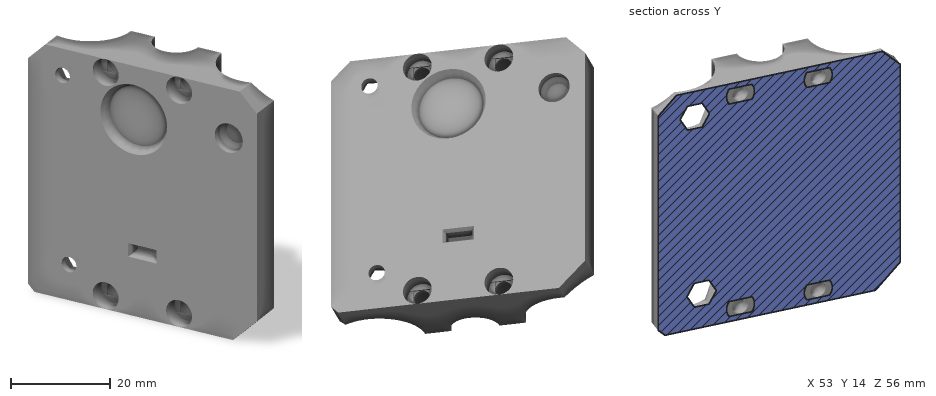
import cadquery as cq
import math

WIDTH = 53.0
DEPTH = 14.0
HEIGHT = 56.0

UPPER_CORNER_CUT = 4.0
LOWER_RIGHT_CUT = 5.5
LOWER_LEFT_CUT = 1.5

SIDE_TROUGH_RADIUS = 9.5
SIDE_TROUGH_X = 20.0
CENTRE_TROUGH_RADIUS = 5.0

HOLE_DIAMETER = 3.4
BOLT_HOLE_CENTRES = [(-18.5, 22.0), (-17.0, -20.0)]
NUT_ACROSS_FLATS = 5.5
NUT_ACROSS_CORNERS = NUT_ACROSS_FLATS / math.cos(math.radians(30))
NUT_TRAP_FLOOR_Y = 1.5
SCREW_X = 8.5
SCREW_HEAD_DIAMETER = 6.0
SCREW_HEAD_DEPTH = 3.4
SCREW_Z = (HEIGHT - SCREW_HEAD_DIAMETER) / 2
STEP_DEPTH = 0.2

LARGE_RECESS_CENTRE = (-2.0, 16.0)
LARGE_RECESS_DIAMETER = 15.5
LARGE_RECESS_FLOOR_DIAMETER = 13.2
LARGE_RECESS_DEPTH = 2.0
SMALL_RECESS_CENTRE = (20.0, 17.0)
SMALL_RECESS_DIAMETER = 6.5
SMALL_RECESS_FLOOR_DIAMETER = 4.5
SMALL_RECESS_STRAIGHT_DEPTH = 1.85
SMALL_RECESS_TAPER_DEPTH = 1.15

POCKET_Z = -13.5
POCKET_MOUTH = (6.6, 3.0)
POCKET_INSET = 0.5
POCKET_TAPER_DEPTH = 0.87
POCKET_DEPTH = 3.2


def front_plane(depth=0.0):
    """Sketch plane at the given depth; local axes are X and Z, the normal points out along -Y."""
    return cq.Workplane("XZ", origin=(0, depth, 0))


def make_plate():
    half_width = WIDTH / 2
    half_height = HEIGHT / 2
    outline = [
        (-half_width, -half_height + LOWER_LEFT_CUT),
        (-half_width + LOWER_LEFT_CUT, -half_height),
        (half_width - LOWER_RIGHT_CUT, -half_height),
        (half_width, -half_height + LOWER_RIGHT_CUT),
        (half_width, half_height - UPPER_CORNER_CUT),
        (half_width - UPPER_CORNER_CUT, half_height),
        (-half_width + UPPER_CORNER_CUT, half_height),
        (-half_width, half_height - UPPER_CORNER_CUT),
    ]
    return front_plane().polyline(outline).close().extrude(-DEPTH)


def make_trough(x, radius):
    return cq.Workplane("XY", origin=(x, DEPTH, -HEIGHT / 2)).circle(radius).extrude(HEIGHT)


def make_bolt_hole(x, z):
    """Shank hole from the flat face, widening to a nut trap with corners pointing along X."""
    shank = front_plane().center(x, z).circle(HOLE_DIAMETER / 2).extrude(-DEPTH)
    nut_trap = (
        front_plane(NUT_TRAP_FLOOR_Y).center(x, z)
        .polygon(6, NUT_ACROSS_CORNERS).extrude(NUT_TRAP_FLOOR_Y - DEPTH)
    )
    return shank.union(nut_trap)


def make_screw_hole(x, z):
    """Head bore, a flat-sided slot step, a square step and the shank hole, from front to back."""
    head_radius = SCREW_HEAD_DIAMETER / 2
    square_depth = SCREW_HEAD_DEPTH + STEP_DEPTH
    head = front_plane().center(x, z).circle(head_radius).extrude(-SCREW_HEAD_DEPTH)
    slot_bar = (
        front_plane(SCREW_HEAD_DEPTH).center(x, z)
        .rect(SCREW_HEAD_DIAMETER, HOLE_DIAMETER).extrude(-STEP_DEPTH)
    )
    slot_limit = front_plane(SCREW_HEAD_DEPTH).center(x, z).circle(head_radius).extrude(-STEP_DEPTH)
    square = (
        front_plane(square_depth).center(x, z)
        .rect(HOLE_DIAMETER, HOLE_DIAMETER).extrude(-STEP_DEPTH)
    )
    shank = front_plane().center(x, z).circle(HOLE_DIAMETER / 2).extrude(-DEPTH)
    return head.union(slot_bar.intersect(slot_limit)).union(square).union(shank)


def make_tapered_recess(centre, diameter, floor_diameter, depth, start_depth=0.0):
    return (
        front_plane(start_depth).center(*centre).circle(diameter / 2)
        .workplane(offset=-depth).circle(floor_diameter / 2).loft(ruled=True)
    )


def make_small_recess():
    straight = (
        front_plane().center(*SMALL_RECESS_CENTRE)
        .circle(SMALL_RECESS_DIAMETER / 2).extrude(-SMALL_RECESS_STRAIGHT_DEPTH)
    )
    taper = make_tapered_recess(
        SMALL_RECESS_CENTRE, SMALL_RECESS_DIAMETER, SMALL_RECESS_FLOOR_DIAMETER,
        SMALL_RECESS_TAPER_DEPTH, start_depth=SMALL_RECESS_STRAIGHT_DEPTH,
    )
    return straight.union(taper)


def make_pocket():
    inner = [side - 2 * POCKET_INSET for side in POCKET_MOUTH]
    mouth = (
        front_plane().center(0, POCKET_Z).rect(*POCKET_MOUTH)
        .workplane(offset=-POCKET_TAPER_DEPTH).rect(*inner).loft(ruled=True)
    )
    shaft = front_plane().center(0, POCKET_Z).rect(*inner).extrude(-POCKET_DEPTH)
    return mouth.union(shaft)


result = make_plate()

result = result.cut(make_trough(0, CENTRE_TROUGH_RADIUS))
for side in (-1, 1):
    result = result.cut(make_trough(side * SIDE_TROUGH_X, SIDE_TROUGH_RADIUS))

for x, z in BOLT_HOLE_CENTRES:
    result = result.cut(make_bolt_hole(x, z))

for x in (-SCREW_X, SCREW_X):
    for z in (-SCREW_Z, SCREW_Z):
        result = result.cut(make_screw_hole(x, z))

large_recess = make_tapered_recess(
    LARGE_RECESS_CENTRE, LARGE_RECESS_DIAMETER, LARGE_RECESS_FLOOR_DIAMETER, LARGE_RECESS_DEPTH
)
result = result.cut(large_recess)
result = result.cut(make_small_recess())
result = result.cut(make_pocket())